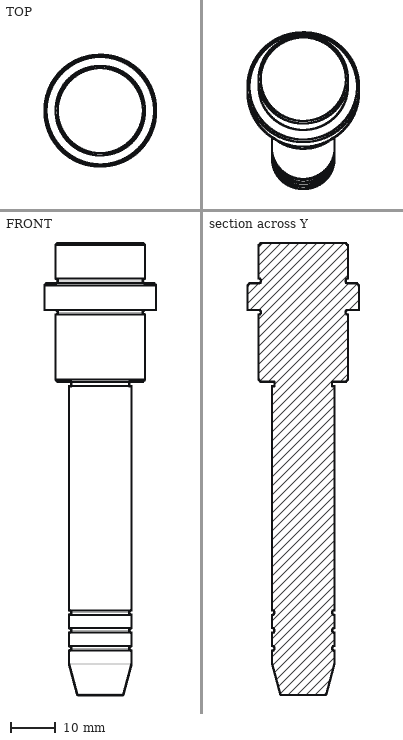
import cadquery as cq
import math

total_length = 101.0
taper_top = 7.0
shaft_top = 69.0
sleeve_bottom = 70.0
flange_bottom = 86.0
flange_top = 92.0

shaft_radius = 7.0
neck_radius = 6.5
body_radius = 10.0
flange_radius = 12.5

taper_angle = 15.0

tip_fillet = 0.5
edge_chamfer = 0.5
flange_chamfer = 0.5

groove_radius = 0.5
groove_count = 3
groove_pitch = 4.0
first_groove_bottom = 10.0


def add_groove(outline, radius, bottom):
    """Continue the outline up to a half-round groove, then around it in two quarter arcs."""
    middle = bottom + groove_radius
    top = bottom + 2 * groove_radius
    floor = radius - groove_radius
    arc_offset = groove_radius * math.sin(math.radians(45))
    arc_radius = radius - arc_offset
    return (
        outline.lineTo(-radius, bottom)
        .threePointArc((-arc_radius, middle - arc_offset), (-floor, middle))
        .threePointArc((-arc_radius, middle + arc_offset), (-radius, top))
    )


def add_tip(outline):
    """Rounded end face and the taper that widens to the shaft."""
    turn = math.radians(90 - taper_angle)
    tangent_length = tip_fillet * math.tan(turn / 2)
    corner_radius = shaft_radius - taper_top * math.tan(math.radians(taper_angle))
    face_radius = corner_radius - tangent_length
    arc_middle = (
        -(face_radius + tip_fillet * math.sin(turn / 2)),
        tip_fillet * (1 - math.cos(turn / 2)),
    )
    arc_end = (
        -(face_radius + tip_fillet * math.sin(turn)),
        tip_fillet * (1 - math.cos(turn)),
    )
    return (
        outline.lineTo(-face_radius, 0)
        .threePointArc(arc_middle, arc_end)
        .lineTo(-shaft_radius, taper_top)
    )


def add_shaft(outline):
    """Grooved shaft and the relieved neck under the sleeve."""
    for index in range(groove_count):
        outline = add_groove(outline, shaft_radius, first_groove_bottom + index * groove_pitch)
    return (
        outline.lineTo(-shaft_radius, shaft_top)
        .lineTo(-neck_radius, shaft_top)
        .lineTo(-neck_radius, sleeve_bottom)
    )


def add_sleeve(outline):
    """Sleeve with a chamfered lower edge and a relief groove against the flange."""
    outline = outline.lineTo(-(body_radius - edge_chamfer), sleeve_bottom)
    outline = outline.lineTo(-body_radius, sleeve_bottom + edge_chamfer)
    return add_groove(outline, body_radius, flange_bottom - 2 * groove_radius)


def add_flange(outline):
    """Flange with a chamfered upper edge."""
    return (
        outline.lineTo(-flange_radius, flange_bottom)
        .lineTo(-flange_radius, flange_top - flange_chamfer)
        .lineTo(-(flange_radius - flange_chamfer), flange_top)
    )


def add_head(outline):
    """Head with a relief groove against the flange and a chamfered upper edge."""
    return (
        add_groove(outline, body_radius, flange_top)
        .lineTo(-body_radius, total_length - edge_chamfer)
        .lineTo(-(body_radius - edge_chamfer), total_length)
        .lineTo(0, total_length)
    )


profile = cq.Workplane("XZ").moveTo(0, 0)
for add_section in (add_tip, add_shaft, add_sleeve, add_flange, add_head):
    profile = add_section(profile)
result = profile.close().revolve(360, (0, 0, 0), (0, 1, 0), clean=False)